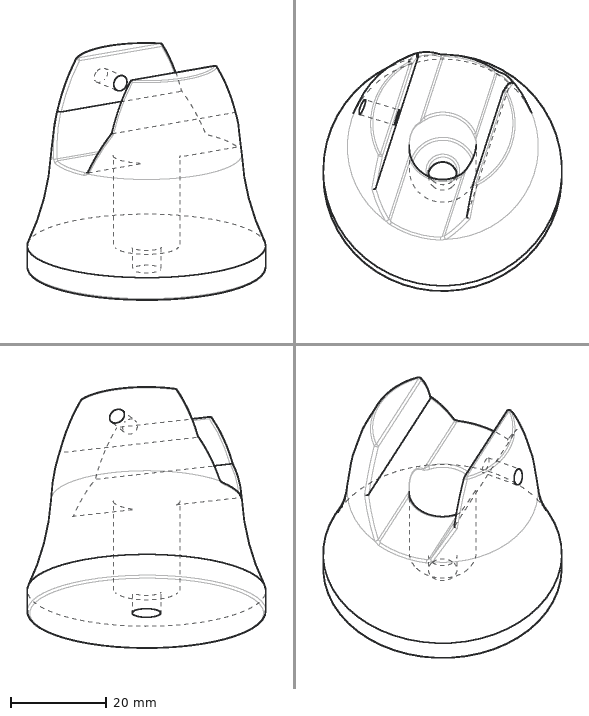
import cadquery as cq
import math

BASE_RADIUS = 25.0
BASE_HEIGHT = 5.0
NECK_RADIUS = 20.0
NECK_HEIGHT = 25.0
TOP_RADIUS = 15.0
TOTAL_HEIGHT = 45.0
SKIRT_BOW = 1.0
DOME_BOW = 1.0

SLOT_HALF_WIDTH = 10.0
SLOT_FLOOR_HALF_WIDTH = 6.0
SLOT_FLOOR_HEIGHT = NECK_HEIGHT
SLOT_TAPER_TOP = 34.0

BORE_RADIUS = 7.0
BORE_FLOOR_HEIGHT = 5.0
SCREW_HOLE_RADIUS = 3.0

SET_SCREW_RADIUS = 1.65
SET_SCREW_HEIGHT = 38.0

EDGE_RADIUS = 0.5

TOLERANCE = 0.01


def make_body():
    """Bell-shaped solid: straight base, flared skirt and rounded dome."""
    skirt_mid = (
        (BASE_RADIUS + NECK_RADIUS) / 2 - SKIRT_BOW,
        (BASE_HEIGHT + NECK_HEIGHT) / 2,
    )
    dome_mid = (
        (NECK_RADIUS + TOP_RADIUS) / 2 + DOME_BOW,
        (NECK_HEIGHT + TOTAL_HEIGHT) / 2,
    )
    profile = (
        cq.Workplane("XZ")
        .lineTo(BASE_RADIUS, 0)
        .lineTo(BASE_RADIUS, BASE_HEIGHT)
        .threePointArc(skirt_mid, (NECK_RADIUS, NECK_HEIGHT))
        .threePointArc(dome_mid, (TOP_RADIUS, TOTAL_HEIGHT))
        .lineTo(0, TOTAL_HEIGHT)
        .close()
    )
    return profile.revolve(360, (0, 0, 0), (0, 1, 0))


def make_slot():
    """Slot cutter running the full length of the part along Y."""
    return (
        cq.Workplane("XZ")
        .moveTo(-SLOT_FLOOR_HALF_WIDTH, SLOT_FLOOR_HEIGHT)
        .lineTo(SLOT_FLOOR_HALF_WIDTH, SLOT_FLOOR_HEIGHT)
        .lineTo(SLOT_HALF_WIDTH, SLOT_TAPER_TOP)
        .lineTo(SLOT_HALF_WIDTH, TOTAL_HEIGHT)
        .lineTo(-SLOT_HALF_WIDTH, TOTAL_HEIGHT)
        .lineTo(-SLOT_HALF_WIDTH, SLOT_TAPER_TOP)
        .close()
        .extrude(BASE_RADIUS, both=True)
    )


def make_bore():
    """Large bore down to its floor, with a rounded corner, and the screw hole below it."""
    large_bore = (
        cq.Workplane("XY")
        .workplane(offset=BORE_FLOOR_HEIGHT)
        .circle(BORE_RADIUS)
        .extrude(TOTAL_HEIGHT - BORE_FLOOR_HEIGHT)
        .faces("<Z")
        .edges()
        .fillet(EDGE_RADIUS)
    )
    screw_hole = cq.Workplane("XY").circle(SCREW_HOLE_RADIUS).extrude(TOTAL_HEIGHT)
    return large_bore.union(screw_hole)


def make_set_screw_hole():
    """Radial hole from the slot out through the -X wall."""
    return (
        cq.Workplane("YZ")
        .center(0, SET_SCREW_HEIGHT)
        .circle(SET_SCREW_RADIUS)
        .extrude(-BASE_RADIUS)
    )


def is_slot_edge(edge):
    """True for the slot outline, the top edges and the edges around the slot floor."""
    center = edge.Center()
    is_neck_circle = abs(center.z - NECK_HEIGHT) < TOLERANCE and abs(center.x) > SLOT_HALF_WIDTH
    is_taper_crease = abs(center.z - SLOT_TAPER_TOP) < TOLERANCE and abs(center.y) < TOLERANCE
    return center.z > NECK_HEIGHT - TOLERANCE and not is_neck_circle and not is_taper_crease


def is_bore_rim(edge):
    """True for the two arcs where the large bore breaks through the slot floor."""
    center = edge.Center()
    is_at_floor = abs(center.z - SLOT_FLOOR_HEIGHT) < TOLERANCE
    return is_at_floor and math.hypot(center.x, center.y) < BORE_RADIUS


def is_screw_hole_rim(edge):
    """True for the circle where the screw hole meets the bore floor."""
    is_at_floor = abs(edge.Center().z - BORE_FLOOR_HEIGHT) < TOLERANCE
    return is_at_floor and abs(edge.radius() - SCREW_HOLE_RADIUS) < TOLERANCE


body = make_body()
body = body.faces("<Z").edges().fillet(EDGE_RADIUS)
body = body.cut(make_slot())
body = body.edges().filter(is_slot_edge).fillet(EDGE_RADIUS)
body = body.cut(make_bore())
body = body.edges("%CIRCLE").filter(is_bore_rim).fillet(EDGE_RADIUS)
body = body.edges("%CIRCLE").filter(is_screw_hole_rim).fillet(EDGE_RADIUS)
result = body.cut(make_set_screw_hole())